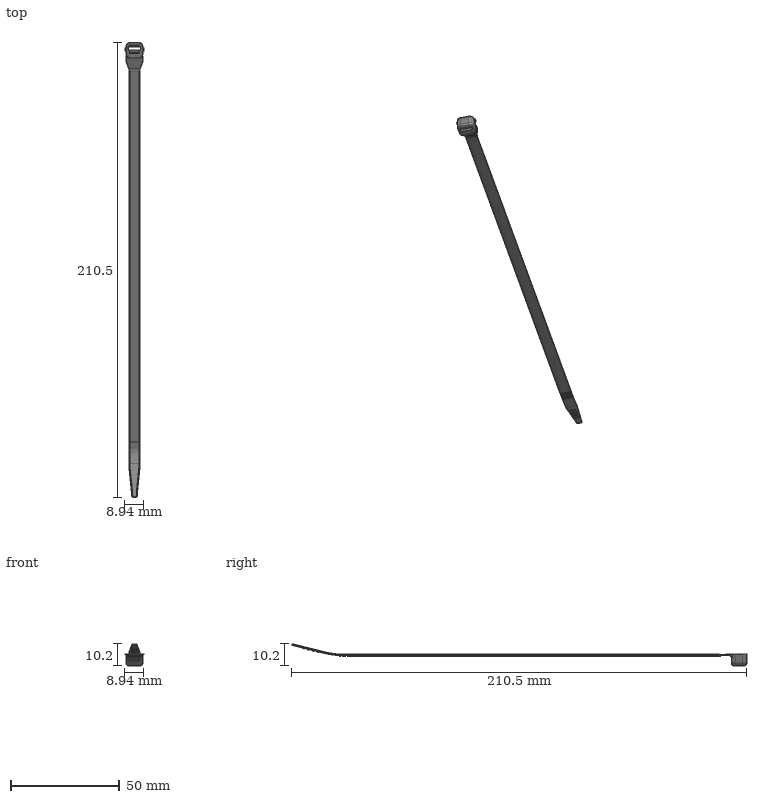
import cadquery as cq
import math


total_length = 210.49
total_height = 10.23
tab_span = 8.94

head_width = 7.8
head_length = 7.2
head_height = 5.55
head_corner_radius = 2.0
head_bottom_fillet = 1.4

tab_start = 2.6
tab_length = 1.4
tab_thickness = 0.3

slot_width = 5.6
slot_start = 2.1
slot_length = 1.4
entry_chamfer = 0.9
recess_width = 4.4
recess_length = 1.6
recess_depth = 0.5
recess_slope_length = 0.5

neck_thickness = 0.5
neck_drop = 0.25
neck_slope_start = 6.6
neck_shoulder = 9.0
neck_end = 12.3
step_end = 13.2
gusset_length = 0.8
gusset_height = 0.6

strap_width = 5.2
strap_thickness = 1.1
edge_chamfer_width = 0.5
edge_chamfer_height = 0.4
strap_end = 184.9

tail_thickness = 0.7
tail_dip = 0.05
bend_start = 187.6
bend_end = 194.9
taper_start = 196.0
taper_end = 208.5
tip_width = 2.7
tip_corner = 0.6

level_ribs = [(185.8, 1.2), (188.0, 0.6)]

grip_first = 198.0
grip_pitch = 2.2
grip_count = 4
grip_length = 0.6
grip_height = 0.25

bend_top = head_height - tail_dip
bend_run = bend_end - bend_start
tail_rise = total_height - bend_top
bend_angle = 0.0
for _ in range(20):
    tip_top = total_length - tail_thickness * math.sin(bend_angle)
    straight_run = tip_top - bend_end
    half_tangent = tail_rise / (bend_run + 2 * straight_run / (1 - math.tan(bend_angle / 2) ** 2))
    bend_angle = 2 * math.atan(half_tangent)
bend_radius = bend_run / math.sin(bend_angle)


def block(width, start, length, bottom, top):
    """Box centred on X, reaching from start to start + length behind the head's rear face."""
    return cq.Workplane("XY").box(width, length, top - bottom).translate(
        (0, -start - length / 2, (bottom + top) / 2)
    )


def make_head():
    body = block(head_width, 0, head_length, 0, head_height)
    body = body.edges("|Z").fillet(head_corner_radius)
    body = body.faces("<Z").edges().fillet(head_bottom_fillet)
    tabs = block(tab_span, tab_start, tab_length, head_height - tab_thickness, head_height)
    return body.union(tabs)


def cut_slot(body):
    """Cut the tail slot, its sloped rear entry and the shallow, slope-ended recess in front of it."""
    slot = block(slot_width, slot_start, slot_length, 0, head_height)
    recess_start = slot_start + slot_length
    recess_end = recess_start + recess_length
    recess_floor = head_height - recess_depth
    recess = (
        cq.Workplane("YZ")
        .moveTo(-recess_start, head_height)
        .lineTo(-recess_start, recess_floor)
        .lineTo(-recess_end + recess_slope_length, recess_floor)
        .lineTo(-recess_end, head_height)
        .close()
        .extrude(recess_width / 2, both=True)
    )
    entry = (
        cq.Workplane("YZ")
        .moveTo(-slot_start, head_height - entry_chamfer)
        .lineTo(-slot_start, head_height)
        .lineTo(-slot_start + entry_chamfer, head_height)
        .close()
        .extrude(recess_width / 2, both=True)
    )
    return body.cut(slot).cut(recess).cut(entry)


def make_neck():
    """Thin plate from the head to the strap, with a gusset under its root and a step at its end."""
    strap_bottom = head_height - strap_thickness
    neck_bottom = head_height - neck_drop - neck_thickness
    side = (
        cq.Workplane("YZ")
        .moveTo(-neck_slope_start, head_height)
        .lineTo(-neck_end, head_height - neck_drop)
        .lineTo(-step_end, head_height)
        .lineTo(-step_end, strap_bottom)
        .lineTo(-neck_end, strap_bottom)
        .lineTo(-neck_end, neck_bottom)
        .lineTo(-head_length - gusset_length, neck_bottom)
        .lineTo(-head_length, neck_bottom - gusset_height)
        .lineTo(-neck_slope_start, neck_bottom - gusset_height)
        .close()
        .extrude(head_width / 2, both=True)
    )
    half_outline = [
        (head_width / 2, -neck_slope_start),
        (head_width / 2, -neck_shoulder),
        (strap_width / 2, -neck_end),
        (strap_width / 2, -step_end),
    ]
    mirrored = [(-x, y) for x, y in reversed(half_outline)]
    plan = cq.Workplane("XY").polyline(half_outline + mirrored).close().extrude(head_height)
    return side.intersect(plan)


def band_plane(distance, top, tilt):
    """Workplane square to the band, facing the tip, with its origin on the middle of the band's top.

    The tilt is the upward slope of the band; local Y points out of the band's top.
    """
    normal = (0, -math.cos(tilt), math.sin(tilt))
    return cq.Workplane(cq.Plane(origin=(0, -distance, top), xDir=(1, 0, 0), normal=normal))


def section(plane, width, thickness):
    """Outline of the band's cross-section, chamfered along its upper edges."""
    half_outline = [
        (width / 2, -thickness),
        (width / 2, -edge_chamfer_height),
        (width / 2 - edge_chamfer_width, 0),
    ]
    mirrored = [(-x, y) for x, y in reversed(half_outline)]
    return plane.polyline(half_outline + mirrored).close()


def make_strap():
    plane = band_plane(step_end, head_height, 0)
    return section(plane, strap_width, strap_thickness).extrude(strap_end - step_end)


def make_tail_root():
    """Level run and upward bend of the tail, with grip ribs underneath."""
    level_plane = band_plane(strap_end, bend_top, 0)
    level = section(level_plane, strap_width, tail_thickness).extrude(bend_start - strap_end)
    bend_plane = band_plane(bend_start, bend_top, 0)
    bend = section(bend_plane, strap_width, tail_thickness).revolve(
        math.degrees(bend_angle), (1, bend_radius), (0, bend_radius)
    )
    root = level.union(bend)
    rib_width = strap_width - 2 * edge_chamfer_width
    for rib_start, rib_length in level_ribs:
        rib = block(rib_width, rib_start, rib_length, head_height - strap_thickness, bend_top)
        root = root.union(rib)
    return root


def tapered_tail_plane(distance):
    """Workplane square to the straight, rising part of the tail."""
    top = total_height - (tip_top - distance) * math.tan(bend_angle)
    return band_plane(distance, top, bend_angle)


def make_tapered_tail():
    """Straight part of the tail, narrowing to a bevelled tip, with small grip ribs underneath."""
    stations = [
        (bend_end, strap_width),
        (taper_start, strap_width),
        (taper_end, tip_width),
        (tip_top - tip_corner, tip_width),
        (tip_top, tip_width - 2 * tip_corner),
    ]
    wires = [
        section(tapered_tail_plane(distance), width, tail_thickness).val()
        for distance, width in stations
    ]
    tail = cq.Workplane(cq.Solid.makeLoft(wires, True))
    for index in range(grip_count):
        plane = tapered_tail_plane(grip_first + index * grip_pitch)
        rib = plane.center(0, -tail_thickness).rect(tip_width, 2 * grip_height).extrude(grip_length)
        tail = tail.union(rib)
    return tail


head_and_neck = make_head().union(make_neck())
tail = make_tail_root().union(make_tapered_tail())
result = cut_slot(head_and_neck.union(make_strap()).union(tail))